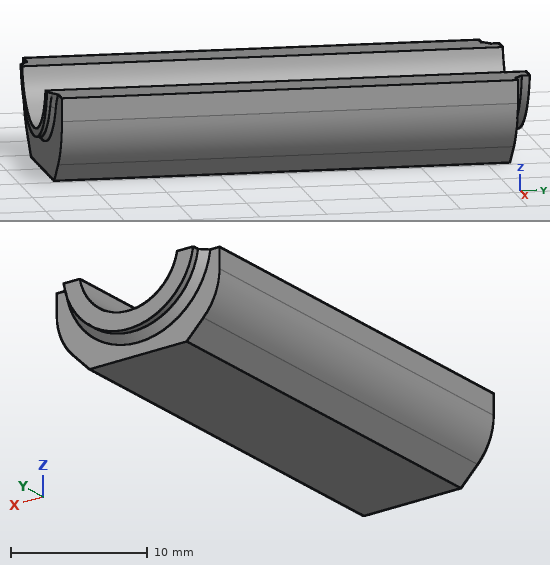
import cadquery as cq
import math

width = 14.8
length = 35.91
height = 6.8

axis_z = 0.85
bore_radius = 4.5

bottom_width = 8.84
corner_radius = 5.0
selection_margin = 0.1

collar_radius = 5.95
collar_cone_radius = 6.62
collar_length = 0.6
collar_cone_length = 0.6

spigot_length = 0.65
spigot_tip_length = 0.3
spigot_tip_radius = 5.12
spigot_root_radius = 5.47
waist_flare_half_width = 5.5
root_flare_half_width = 6.0
flare_start_z = -1.19

front_end_y = -length / 2
rear_end_y = length / 2
waist_y = front_end_y + spigot_tip_length
body_front_y = front_end_y + spigot_length
cone_end_y = rear_end_y - collar_length
body_rear_y = cone_end_y - collar_cone_length


def half_chord(radius, z):
    """Half width at height z of a circle centred on the trough axis."""
    return math.sqrt(radius**2 - (axis_z - z) ** 2)


def section_plane(y):
    """Plane across the part at y, with local axes along X and Z."""
    return cq.Workplane(cq.Plane(origin=(0, y, 0), xDir=(1, 0, 0), normal=(0, -1, 0)))


def make_body():
    """Flat-topped bar with 45 degree lower flanks blended into the sides."""
    half_width = width / 2
    half_bottom = bottom_width / 2
    flank_top_z = -height + half_width - half_bottom
    bar = (
        section_plane(body_rear_y)
        .moveTo(-half_width, 0)
        .lineTo(half_width, 0)
        .lineTo(half_width, flank_top_z)
        .lineTo(half_bottom, -height)
        .lineTo(-half_bottom, -height)
        .lineTo(-half_width, flank_top_z)
        .close()
        .extrude(body_rear_y - body_front_y)
    )
    side_corners = cq.selectors.BoxSelector(
        (-width, front_end_y, flank_top_z - selection_margin),
        (width, rear_end_y, flank_top_z + selection_margin),
    )
    return bar.edges("|Y").edges(side_corners).fillet(corner_radius)


def make_collar():
    """Cylinder and cone about the trough axis, cut off at the split face."""
    collar = (
        cq.Workplane("XY", origin=(0, 0, axis_z))
        .moveTo(0, body_rear_y)
        .lineTo(collar_cone_radius, body_rear_y)
        .lineTo(collar_radius, cone_end_y)
        .lineTo(collar_radius, rear_end_y)
        .lineTo(0, rear_end_y)
        .close()
        .revolve(360, (0, 0, 0), (0, 1, 0))
    )
    below_split = cq.Workplane("XY").box(width, 2 * length, height, centered=(True, True, False))
    return collar.intersect(below_split.translate((0, 0, -height)))


def round_side(radius):
    """Start, middle and end of a side that simply continues the round outline."""
    heights = (flare_start_z, flare_start_z / 2, 0)
    return [(half_chord(radius, z), z) for z in heights]


def flared_side(radius, end_x):
    """Start, middle and end of an arc that leaves the round outline tangentially
    and curves outward to reach the split face at end_x."""
    start_x = half_chord(radius, flare_start_z)
    outward_x = start_x / radius
    outward_z = (flare_start_z - axis_z) / radius
    run = end_x - start_x
    rise = -flare_start_z
    flare_radius = (run**2 + rise**2) / (2 * (run * outward_x + rise * outward_z))
    centre_x = start_x + flare_radius * outward_x
    centre_z = flare_start_z + flare_radius * outward_z
    start_angle = math.atan2(-outward_z, -outward_x)
    end_angle = math.atan2(-centre_z, end_x - centre_x)
    middle_angle = (start_angle + end_angle) / 2
    middle = (
        centre_x + flare_radius * math.cos(middle_angle),
        centre_z + flare_radius * math.sin(middle_angle),
    )
    return [(start_x, flare_start_z), middle, (end_x, 0)]


def spigot_wire(y, radius, side):
    """Closed outline: lower arc of the given radius with a side arc up to the split face."""
    start, middle, end = side
    return (
        section_plane(y)
        .moveTo(-end[0], end[1])
        .threePointArc((-middle[0], middle[1]), (-start[0], start[1]))
        .threePointArc((0, axis_z - radius), start)
        .threePointArc(middle, end)
        .close()
        .val()
    )


def make_spigot():
    """Two ruled stretches, tip to waist and waist to root."""
    tip = spigot_wire(front_end_y, spigot_tip_radius, round_side(spigot_tip_radius))
    waist_side = flared_side(spigot_tip_radius, waist_flare_half_width)
    waist = spigot_wire(waist_y, spigot_tip_radius, waist_side)
    root_side = flared_side(spigot_root_radius, root_flare_half_width)
    root = spigot_wire(body_front_y, spigot_root_radius, root_side)
    return cq.Workplane(cq.Solid.makeLoft([tip, waist, root], True))


def make_bore():
    """Round trough running the full length."""
    return section_plane(rear_end_y).center(0, axis_z).circle(bore_radius).extrude(length)


result = make_body().union(make_collar()).union(make_spigot()).cut(make_bore())